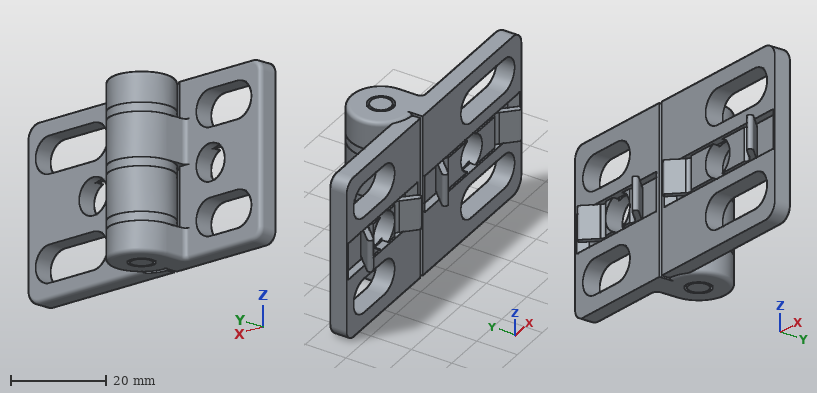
import cadquery as cq
import math


HEIGHT = 40.0
PLATE_THICKNESS = 4.5
LEAF_GAP = 0.85
EDGE_RADIUS = 1.0

AXIS_Y = 10.0
KNUCKLE_RADIUS = 15.0 / 2
CLEARANCE_RADIUS = 8.0
BORE_DIAMETER = 6.0
PIN_DIAMETER = 5.9
PIN_TAPER_WIDTH = 0.5
PIN_TAPER_LENGTH = 1.7
END_KNUCKLE_HEIGHT = 7.0
MIDDLE_KNUCKLE_HEIGHT = 10.0
WASHER_HEIGHT = (HEIGHT - 2 * END_KNUCKLE_HEIGHT - 2 * MIDDLE_KNUCKLE_HEIGHT) / 3

HOLE_DIAMETER = 8.5
SLOT_Z = 12.0

RECESS_HEIGHT = 9.1
RECESS_DEPTH = 1.9
RIB_HEIGHT = 7.85

LEG_REACH = 3.2
LEG_RADIUS = 0.7
GROOVE_RADIUS = 1.0
GROOVE_AXIS_OUT = 0.4

TOP = HEIGHT / 2
MIDDLE_PITCH = MIDDLE_KNUCKLE_HEIGHT + WASHER_HEIGHT
WASHER_TOPS = [TOP - END_KNUCKLE_HEIGHT - i * MIDDLE_PITCH for i in range(3)]
WASHER_BOTTOMS = [top - WASHER_HEIGHT for top in WASHER_TOPS]
LONG_LEAF_KNUCKLES = [(WASHER_TOPS[0], TOP), (WASHER_TOPS[2], WASHER_BOTTOMS[1])]
SHORT_LEAF_KNUCKLES = [(WASHER_TOPS[1], WASHER_BOTTOMS[0]), (-TOP, WASHER_BOTTOMS[2])]


def barrel_cylinder(radius, bottom, top):
    """Solid cylinder on the pin axis between two levels."""
    return cq.Workplane("XY", origin=(0, AXIS_Y, bottom)).circle(radius).extrude(top - bottom)


def block(x_range, y_range, z_range):
    """Box given by its limits on the three axes."""
    sizes = [high - low for low, high in (x_range, y_range, z_range)]
    return cq.Workplane("XY").box(*sizes, centered=False).translate((x_range[0], y_range[0], z_range[0]))


def extrude_profile(profile, height):
    """Extrude an XY profile symmetrically about Z = 0."""
    return profile.extrude(height / 2, both=True)


def round_back_edges(leaf, length, corner_radius):
    """Round the two outer corners, then every back edge of the outline."""
    leaf = leaf.edges("|Y and >X").fillet(corner_radius)
    end_edge = cq.selectors.BoxSelector(
        (length - corner_radius, PLATE_THICKNESS / 2, -TOP),
        (length + 0.7, PLATE_THICKNESS + 0.7, TOP),
    )
    return leaf.edges(end_edge).edges("|Z").fillet(EDGE_RADIUS)


def make_plate(length, corner_radius):
    """Flat leaf without knuckles."""
    profile = cq.Workplane("XY").moveTo(LEAF_GAP / 2, 0).lineTo(length, 0)
    profile = profile.lineTo(length, PLATE_THICKNESS).lineTo(LEAF_GAP / 2, PLATE_THICKNESS).close()
    return round_back_edges(extrude_profile(profile, HEIGHT), length, corner_radius)


def make_knuckle_plate(length, corner_radius):
    """Leaf whose knuckle runs over the full height."""
    inner_x = LEAF_GAP / 2
    knuckle_bottom = AXIS_Y - math.sqrt(KNUCKLE_RADIUS**2 - inner_x**2)
    profile = (
        cq.Workplane("XY")
        .moveTo(inner_x, 0)
        .lineTo(length, 0)
        .lineTo(length, PLATE_THICKNESS)
        .lineTo(KNUCKLE_RADIUS + EDGE_RADIUS, PLATE_THICKNESS)
        .radiusArc((KNUCKLE_RADIUS, PLATE_THICKNESS + EDGE_RADIUS), EDGE_RADIUS)
        .lineTo(KNUCKLE_RADIUS, AXIS_Y)
        .threePointArc((-KNUCKLE_RADIUS, AXIS_Y), (inner_x, knuckle_bottom))
        .close()
    )
    return round_back_edges(extrude_profile(profile, HEIGHT), length, corner_radius)


def make_recess(start, end):
    """Recess with 45 degree ends, widest at the mounting face."""
    profile = cq.Workplane("XY").moveTo(start, 0).lineTo(end, 0)
    profile = profile.lineTo(end - RECESS_DEPTH, RECESS_DEPTH).lineTo(start + RECESS_DEPTH, RECESS_DEPTH)
    return extrude_profile(profile.close(), RECESS_HEIGHT)


def make_rib(half_span):
    """Rib centred on X = 0 that fills the recess depth and carries two spreading legs."""
    tip_x = half_span - LEG_RADIUS
    tip_y = LEG_RADIUS - LEG_REACH
    side = LEG_RADIUS / math.sqrt(2)
    outer_x = tip_x + side - (RECESS_DEPTH - tip_y - side)
    inner_x = tip_x - side + tip_y - side
    rib = (
        cq.Workplane("XY")
        .moveTo(-outer_x, RECESS_DEPTH)
        .lineTo(-tip_x - side, tip_y + side)
        .threePointArc((-tip_x - side, tip_y - side), (-tip_x + side, tip_y - side))
        .lineTo(-inner_x, 0)
        .lineTo(inner_x, 0)
        .lineTo(tip_x - side, tip_y - side)
        .threePointArc((tip_x + side, tip_y - side), (tip_x + side, tip_y + side))
        .lineTo(outer_x, RECESS_DEPTH)
        .close()
    )
    leg_axis_x = tip_x + tip_y + GROOVE_AXIS_OUT
    groove_x = leg_axis_x - (LEG_RADIUS + GROOVE_RADIUS) * math.sqrt(2)
    grooves = cq.Workplane("XY").pushPoints([(-groove_x, -GROOVE_AXIS_OUT), (groove_x, -GROOVE_AXIS_OUT)])
    grooves = extrude_profile(grooves.circle(GROOVE_RADIUS), RIB_HEIGHT)
    return extrude_profile(rib, RIB_HEIGHT).cut(grooves)


def make_fixing_holes(hole_x, slot_travel):
    """Round hole at mid height and a slot above and below it, with one end over the hole."""
    hole = cq.Workplane("XZ").center(hole_x, 0).circle(HOLE_DIAMETER / 2).extrude(-PLATE_THICKNESS)
    slots = (
        cq.Workplane("XZ")
        .pushPoints([(hole_x + slot_travel / 2, z) for z in (-SLOT_Z, SLOT_Z)])
        .slot2D(slot_travel + HOLE_DIAMETER, HOLE_DIAMETER)
        .extrude(-PLATE_THICKNESS)
    )
    return hole.union(slots)


def make_leaf(length, corner_radius, knuckles, hole_x, slot_travel, recess_start, recess_end, leg_half_span):
    """Leaf reaching towards +X, with knuckles only at the given (bottom, top) levels."""
    plate = make_plate(length, corner_radius).cut(barrel_cylinder(CLEARANCE_RADIUS, -TOP, TOP))
    knuckle_plate = make_knuckle_plate(length, corner_radius)
    leaf = plate
    for levels in knuckles:
        slab = block((-KNUCKLE_RADIUS, length), (0, AXIS_Y + KNUCKLE_RADIUS), levels)
        leaf = leaf.union(knuckle_plate.intersect(slab))
    leaf = leaf.cut(barrel_cylinder(BORE_DIAMETER / 2, -TOP, TOP))
    leaf = leaf.cut(make_recess(recess_start, recess_end))
    leaf = leaf.union(make_rib(leg_half_span).translate((hole_x, 0, 0)))
    return leaf.cut(make_fixing_holes(hole_x, slot_travel)).clean()


def make_washer(bottom):
    """Flat ring between two knuckles."""
    ring = barrel_cylinder(KNUCKLE_RADIUS, bottom, bottom + WASHER_HEIGHT)
    return ring.cut(barrel_cylinder(BORE_DIAMETER / 2, bottom, bottom + WASHER_HEIGHT))


def make_pin():
    """Pin through the whole barrel with slim tapers at both ends."""
    pin_body = barrel_cylinder(PIN_DIAMETER / 2, -TOP, TOP)
    upper_end = pin_body.faces(">Z").chamfer(PIN_TAPER_LENGTH, PIN_TAPER_WIDTH)
    return upper_end.faces("<Z").chamfer(PIN_TAPER_LENGTH, PIN_TAPER_WIDTH)


long_leaf = make_leaf(
    length=40.05,
    corner_radius=3.5,
    knuckles=LONG_LEAF_KNUCKLES,
    hole_x=20.0,
    slot_travel=13.0,
    recess_start=1.25,
    recess_end=39.4,
    leg_half_span=15.4,
)
short_leaf = make_leaf(
    length=29.95,
    corner_radius=2.8,
    knuckles=SHORT_LEAF_KNUCKLES,
    hole_x=15.0,
    slot_travel=8.0,
    recess_start=1.5,
    recess_end=29.4,
    leg_half_span=10.3,
).mirror("YZ")
pin = make_pin()
washers = [make_washer(bottom) for bottom in WASHER_BOTTOMS]

result = cq.Compound.makeCompound(
    [long_leaf.val(), short_leaf.val(), pin.val(), *[washer.val() for washer in washers]]
)